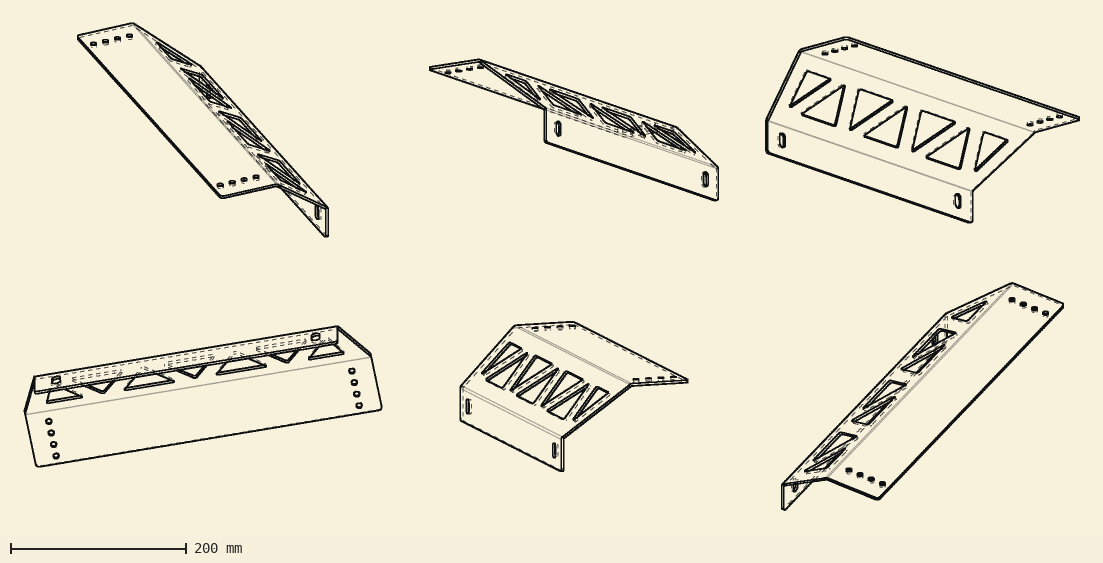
import cadquery as cq
import math

length = 400.0
depth = 145.0
height = 101.5
thickness = 3.0
inner_bend_radius = 1.0
outer_bend_radius = inner_bend_radius + thickness
corner_radius = 4.0

top_plate_depth = 70.0
flange_height = 39.0
flange_length = 350.5

slope_run = depth - top_plate_depth
slope_drop = height - flange_height
slope_length = math.hypot(slope_run, slope_drop)
slope_angle = math.atan2(slope_drop, slope_run)

window_margin = 21.5
window_base = 60.0
window_pitch = 53.0
window_radius = 2.0

hole_diameter = 6.5
hole_spacing_x = flange_length
hole_edge_distance = 10.0
hole_row_length = 45.0
holes_per_side = 4
hole_pitch = hole_row_length / (holes_per_side - 1)

slot_width = 9.5
slot_height = 17.0
slot_spacing_x = 300.0
slot_center_z = 20.5


def bent_sheet():
    """Sheet profile extruded over the full length, with rounded bends."""
    top_setback = thickness * math.tan(slope_angle / 2)
    flange_setback = thickness * math.tan((math.pi / 2 - slope_angle) / 2)
    inner_y = depth - thickness
    inner_z = height - thickness
    inner_top_bend = (top_plate_depth - top_setback, inner_z)
    inner_flange_bend = (inner_y, flange_height - flange_setback)
    profile = [
        (0, height),
        (top_plate_depth, height),
        (depth, flange_height),
        (depth, 0),
        (inner_y, 0),
        inner_flange_bend,
        inner_top_bend,
        (0, inner_z),
    ]
    sheet = cq.Workplane("YZ").polyline(profile).close().extrude(length / 2, both=True)
    outer_bends = [profile[1], profile[2]]
    inner_bends = [inner_top_bend, inner_flange_bend]
    for bends, radius in ((outer_bends, outer_bend_radius), (inner_bends, inner_bend_radius)):
        for y, z in bends:
            edge = cq.selectors.NearestToPointSelector((0, y, z))
            sheet = sheet.edges("|X").edges(edge).fillet(radius)
    return sheet


def side_trim():
    """Front outline: full length above, tapering along the slope to the flange."""
    half_top = length / 2
    half_flange = flange_length / 2
    outline = [
        (-half_top, height),
        (half_top, height),
        (half_top, height - thickness),
        (half_flange, flange_height),
        (half_flange, 0),
        (-half_flange, 0),
        (-half_flange, flange_height),
        (-half_top, height - thickness),
    ]
    return cq.Workplane("XZ").polyline(outline).close().extrude(-depth)


def window(points):
    """Rounded triangular prism; points are (x, distance down the slope from the top bend)."""
    normal = cq.Vector(0, math.sin(slope_angle), math.cos(slope_angle))
    plane = cq.Plane(origin=(0, top_plate_depth, height), xDir=(1, 0, 0), normal=normal)
    prism = cq.Workplane(plane).polyline(points).close().extrude(2 * thickness, both=True)
    return prism.edges(cq.selectors.ParallelDirSelector(normal)).fillet(window_radius)


def truss_windows():
    """Five whole triangles of alternating direction and a narrower one at each end."""
    half_base = window_base / 2
    upper = window_margin
    lower = slope_length - window_margin
    windows = cq.Workplane()

    for index in range(-2, 3):
        x = index * window_pitch
        base, apex = (lower, upper) if index % 2 == 0 else (upper, lower)
        windows = windows.add(window([(x - half_base, base), (x + half_base, base), (x, apex)]))

    taper = (length - flange_length) / 2 / slope_length
    side_offset = window_margin * math.hypot(1, taper)
    side_start = length / 2 - side_offset
    inner_slope = half_base / (lower - upper)
    end_center = 3 * window_pitch
    inner_base = end_center - half_base
    outer_base = side_start - taper * upper
    apex_distance = upper + (outer_base - inner_base) / (inner_slope + taper)
    apex_x = side_start - taper * apex_distance
    for side in (-1, 1):
        triangle = [(side * inner_base, upper), (side * outer_base, upper), (side * apex_x, apex_distance)]
        windows = windows.add(window(triangle))
    return windows.combine()


def plate_holes():
    """A row of round holes near each end of the top plate."""
    points = [
        (side * hole_spacing_x / 2, hole_edge_distance + index * hole_pitch)
        for side in (-1, 1)
        for index in range(holes_per_side)
    ]
    top = cq.Workplane("XY", origin=(0, 0, height))
    return top.pushPoints(points).circle(hole_diameter / 2).extrude(-2 * thickness)


def flange_slots():
    """An upright slot near each end of the flange."""
    points = [(side * slot_spacing_x / 2, slot_center_z) for side in (-1, 1)]
    back = cq.Workplane("XZ", origin=(0, depth, 0))
    return back.pushPoints(points).slot2D(slot_height, slot_width, 90).extrude(2 * thickness)


body = bent_sheet().intersect(side_trim())
body = body.faces("<Y").edges("|Z").fillet(corner_radius)
body = body.faces("<Z").edges("|Y").fillet(corner_radius)
result = body.cut(truss_windows()).cut(plate_holes()).cut(flange_slots())